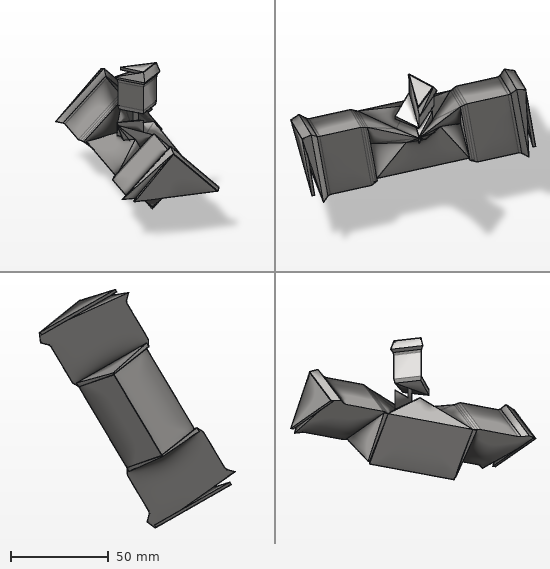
import cadquery as cq


RUN_LENGTH = 118.0
TOTAL_WIDTH = 52.3
TOTAL_HEIGHT = 70.2
BRANCH_TOP = 49.7

RUN_END = RUN_LENGTH / 2
RUN_BEAD_RADIUS = TOTAL_WIDTH / 2
RUN_MOUTH_RADIUS = 24.1
RUN_SOCKET_RADIUS = 22.5
RUN_MID_RADIUS = 20.8
RUN_MID_END = 24.4
RUN_SOCKET_STEPS = [
    (RUN_MID_END, RUN_MID_RADIUS),
    (25.5, 21.2),
    (26.7, 22.0),
    (28.0, RUN_SOCKET_RADIUS),
    (49.7, RUN_SOCKET_RADIUS),
    (51.1, 23.1),
    (54.2, RUN_BEAD_RADIUS),
]

BORE_RADIUS = 19.4
NECK_FOOT = (0, -10.9, 17.7)
BACK_FOOT = (0, 9.1, 17.1)
VALLEY_REACH = 9.4
VALLEY_HEIGHT = 12.3
PIT_HEIGHT = 2.4
FRONT_CREST_LEFT = (-6.3, 11.0)
FRONT_CREST_DIP = (4.1, 10.6)
FRONT_CREST_RIGHT = (12.6, 14.2)

KEEL_DEPTH = TOTAL_HEIGHT - BRANCH_TOP
KEEL_LIP = 2.0
COLLAR_END = 26.8
COLLAR_LOW_END = 25.3
COLLAR_DEPTH = 19.1

BRANCH_MOUTH_RADIUS = 10.3
BRANCH_SOCKET_RADIUS = 10.5
BRANCH_FOOT_RADIUS = 9.8
BRANCH_FOOT = 26.4
BRANCH_SHOULDER = 28.5
BRANCH_SOCKET_STEPS = [
    (BRANCH_FOOT, BRANCH_FOOT_RADIUS),
    (BRANCH_SHOULDER, BRANCH_SOCKET_RADIUS),
    (41.7, BRANCH_SOCKET_RADIUS),
    (43.1, 10.9),
    (44.6, 12.3),
]
SHELF_REACH = 9.9
SHELF_LOW = 23.2
NECK_BASE = 11.8
STUB_LOW = 19.1
STUB_HIGH = 22.8
POST_SIDE = 2.4

PLUG_THICKNESS = 1.5
MOUTH_RIM = 0.5
RUN_PLUG_SHORT_SIDE = 21.0
BRANCH_PLUG_SHORT_SIDE = 9.1


def polyhedron(corners, faces):
    """Solid bounded by flat faces, each face a string of corner names."""
    made = []
    for names in faces.split():
        points = [cq.Vector(*corners[name]) for name in names]
        made.append(cq.Face.makeFromWires(cq.Wire.makePolygon(points, close=True)))
    solid = cq.Solid.makeSolid(cq.Shell.makeShell(made)).fix()
    return cq.Workplane(obj=solid)


def triangle_section(x, radius):
    """Half-square section across X, with its base on Z = 0 and its corner pointing up."""
    points = [cq.Vector(x, radius, 0), cq.Vector(x, 0, radius), cq.Vector(x, -radius, 0)]
    return cq.Wire.makePolygon(points, close=True)


def plug(end, radius, short_side):
    """Thin plate whose outer face is at X = end; its -Y corner is nearer to the axis."""
    outline = [(radius, 0), (0, radius), (-short_side, 0)]
    inner_face = cq.Workplane("YZ", origin=(end - PLUG_THICKNESS, 0, 0))
    return inner_face.polyline(outline).close().extrude(PLUG_THICKNESS)


def socket(steps, end, mouth_radius):
    """Stepped socket along +X, finished by a lip that slants back to the bead on its -Y side."""
    body = None
    for (x_in, radius_in), (x_out, radius_out) in zip(steps, steps[1:]):
        sections = [triangle_section(x_in, radius_in), triangle_section(x_out, radius_out)]
        step = cq.Workplane(obj=cq.Solid.makeLoft(sections, True))
        body = step if body is None else body.union(step)
    bead_x, bead_radius = steps[-1]
    lip_corners = {
        "L": (bead_x, bead_radius, 0),
        "T": (bead_x, 0, bead_radius),
        "R": (bead_x, -bead_radius, 0),
        "l": (end, mouth_radius, 0),
        "t": (end, 0, mouth_radius),
    }
    lip = polyhedron(lip_corners, "LTR LltT TtR ltR LlR")
    return body.union(lip)


def to_left(shape):
    return shape.mirror("YZ")


def to_branch(shape):
    """Turn a shape from the X axis to the Z axis, its corner pointing to +X."""
    return shape.rotate((0, 0, 0), (0, 1, 0), -90).mirror("YZ")


def saddle():
    """Upper middle of the run, sinking from both sockets to the foot of the branch."""

    def on_bore(crest):
        x, z = crest
        return (x, z - BORE_RADIUS, z)

    corners = {
        "A": (-RUN_MID_END, 0, RUN_MID_RADIUS),
        "B": (-RUN_MID_END, RUN_MID_RADIUS, 0),
        "F": (-RUN_MID_END, -BORE_RADIUS, 0),
        "a": (RUN_MID_END, 0, RUN_MID_RADIUS),
        "b": (RUN_MID_END, RUN_MID_RADIUS, 0),
        "f": (RUN_MID_END, -BORE_RADIUS, 0),
        "C": NECK_FOOT,
        "D": BACK_FOOT,
        "E": (-VALLEY_REACH, 0, VALLEY_HEIGHT),
        "e": (VALLEY_REACH, 0, VALLEY_HEIGHT),
        "K": (-RUN_MID_END, 0, PIT_HEIGHT),
        "k": (RUN_MID_END, 0, PIT_HEIGHT),
        "G": on_bore(FRONT_CREST_LEFT),
        "J": on_bore(FRONT_CREST_DIP),
        "g": on_bore(FRONT_CREST_RIGHT),
    }
    ends_and_base = "ABFK abfk BFfb"
    front = "FfgJG KFG KGC AKC CGJ CJg Cgk gfk akC"
    back = "BbD ABE AEC BDE DEC abe aeC bDe DeC"
    return polyhedron(corners, " ".join([ends_and_base, front, back]))


def keel():
    """Lower middle of the run, with a step along its bottom corner."""
    outline = [(RUN_MID_RADIUS, 0), (0, -KEEL_DEPTH), (0, KEEL_LIP - KEEL_DEPTH), (-BORE_RADIUS, 0)]
    return cq.Workplane("YZ").polyline(outline).close().extrude(RUN_MID_END, both=True)


def collar():
    """Tapered plate under the inner end of the +X socket."""
    corners = {
        "L": (RUN_MID_END, RUN_MID_RADIUS, 0),
        "R": (RUN_MID_END, -RUN_MID_RADIUS, 0),
        "B": (RUN_MID_END, 0, -COLLAR_DEPTH),
        "l": (COLLAR_END, RUN_MID_RADIUS, 0),
        "r": (COLLAR_END, -RUN_MID_RADIUS, 0),
        "b": (COLLAR_LOW_END, 0, -COLLAR_DEPTH),
    }
    return polyhedron(corners, "LRB lrb LlrR LlbB RrbB")


def shelf():
    """Sloping shelf at the foot of the branch, reaching out to -X."""
    corners = {
        "L": (0, BRANCH_SOCKET_RADIUS, BRANCH_SHOULDER),
        "R": (0, -BRANCH_SOCKET_RADIUS, BRANCH_SHOULDER),
        "T": (-SHELF_REACH, 0, BRANCH_FOOT),
        "B": (-SHELF_REACH, 0, SHELF_LOW),
        "l": (0, BRANCH_FOOT_RADIUS, BRANCH_FOOT),
        "r": (0, -BRANCH_FOOT_RADIUS, BRANCH_FOOT),
        "c": (BRANCH_FOOT_RADIUS, 0, BRANCH_FOOT),
    }
    return polyhedron(corners, "LRT LTl TBl RTr TBr Blc Brc LRrl lrc")


def neck_stub():
    """Remnant of the neck wall standing on the run, its sloping top rising toward +X."""
    reach = -NECK_FOOT[1]
    corners = {
        "O": (0, 0, STUB_LOW),
        "X": (BRANCH_FOOT_RADIUS, 0, STUB_HIGH),
        "Y": (0, -reach, STUB_LOW),
        "o": (0, 0, NECK_BASE),
        "x": (BRANCH_FOOT_RADIUS, 0, NECK_BASE),
        "y": (0, -reach, NECK_BASE),
    }
    return polyhedron(corners, "OXY oxy OXxo XYyx YOoy")


def neck_post():
    """Slim post that carries the branch on the run."""
    outline = [(0, 0), (POST_SIDE, 0), (0, -POST_SIDE)]
    height = BRANCH_FOOT - NECK_BASE
    return cq.Workplane("XY", origin=(0, 0, NECK_BASE)).polyline(outline).close().extrude(height)


run_plug = plug(RUN_END, RUN_MOUTH_RADIUS - MOUTH_RIM, RUN_PLUG_SHORT_SIDE)
branch_plug = plug(BRANCH_TOP, BRANCH_MOUTH_RADIUS - MOUTH_RIM, BRANCH_PLUG_SHORT_SIDE)
plugs = [run_plug, to_left(run_plug), to_branch(branch_plug)]

run_socket = socket(RUN_SOCKET_STEPS, RUN_END, RUN_MOUTH_RADIUS)
branch_socket = socket(BRANCH_SOCKET_STEPS, BRANCH_TOP, BRANCH_MOUTH_RADIUS)
tee = saddle().union(keel())
for part in [run_socket, collar()]:
    tee = tee.union(part).union(to_left(part))
for part in [neck_stub(), neck_post(), shelf(), to_branch(branch_socket)]:
    tee = tee.union(part)
for mouth_plug in plugs:
    tee = tee.cut(mouth_plug)

result = cq.Compound.makeCompound([*tee.vals(), *[mouth_plug.val() for mouth_plug in plugs]])